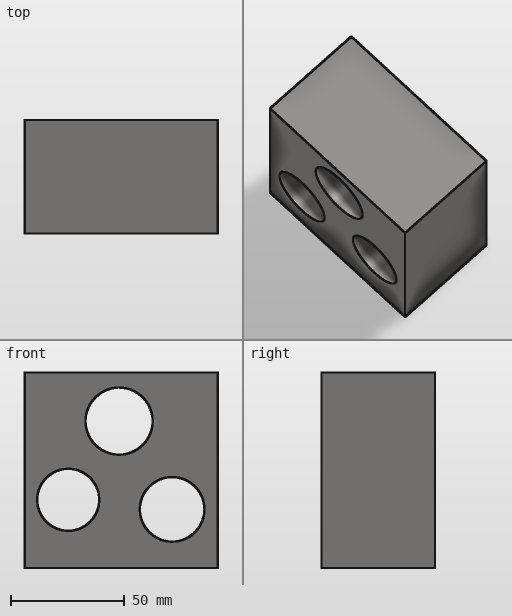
import cadquery as cq

width = 84.9
depth = 50.0
height = 86.0

top_hole = (-0.95, 21.6, 29.4)
left_hole = (-23.3, -13.0, 27.2)
right_hole = (22.35, -17.2, 28.3)


def through_hole(center_x, center_z, diameter):
    """Cylinder running the full depth of the block."""
    return (
        cq.Workplane("XZ", origin=(center_x, 0, center_z))
        .circle(diameter / 2)
        .extrude(depth / 2, both=True)
    )


result = cq.Workplane("XY").box(width, depth, height)
for center_x, center_z, diameter in (top_hole, left_hole, right_hole):
    result = result.cut(through_hole(center_x, center_z, diameter))